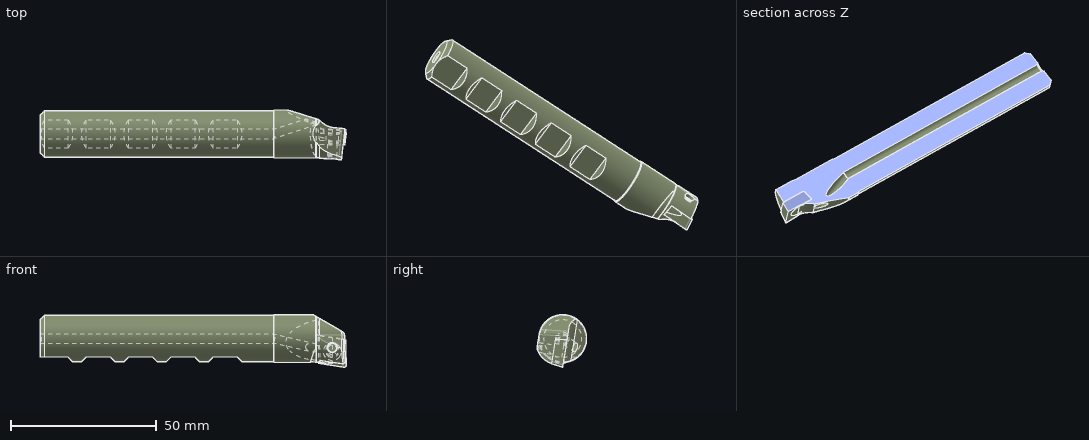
import cadquery as cq
import math


shank_radius = 8.0
shank_length = 80.0
rear_chamfer = 1.5
collar_radius = 8.25
collar_end = 94.7
collar_bevel = collar_radius - shank_radius
neck_radius = 8.1

flat_level = -6.4
ridge_count = 5
ridge_pitch = 14.5
first_ridge_start = 9.6
ridge_base_width = 6.2

bore_diameter = 3.3
bore_mouth_diameter = 4.4
bore_depth = 80.0
drill_point_angle = 118.0
outlet_diameter = 3.0
outlet_target = (93.0, 4.2, -3.0)

head_start = 95.8
side_facet_angle = 9.0
relief_radius = 8.1
relief_pivot = 94.5
relief_side_lean = 0.123
relief_drop = 0.093
relief_bottom_start = 92.6
relief_side_start = 94.0
relief_side_level = -4.0
top_slope_angle = 30.0
top_slope_start = 93.55
end_face_angle = 6.0
end_face_position = 104.3
end_corner_radius = 2.0

inscribed_diameter = 9.525
insert_thickness = 3.97
insert_corner_angle = 80.0
insert_clearance = 7.0
nose_radius = 0.8
end_edge_lean = 1.0
insert_hole_diameter = 4.4

cutting_corner = (105.02, 0, -10.01)
seat_tilt = side_facet_angle

gullet_floor_length = 3.5
gullet_blend_middle = (6.6, 0.4)
gullet_blend_end = (9.5, 2.4)
gullet_run_middle = (15.5, 4.5)
gullet_run_end = (21.0, 6.8)

screw_head_diameter = 6.1
screw_thread_diameter = 3.3
screw_end_diameter = 3.0
screw_end_chamfer = 0.3
screw_length = 8.5

clear = 30.0


def sind(angle):
    return math.sin(math.radians(angle))


def cosd(angle):
    return math.cos(math.radians(angle))


def tand(angle):
    return math.tan(math.radians(angle))


def cylinder(start, direction, diameter, length):
    solid = cq.Solid.makeCylinder(diameter / 2, length, cq.Vector(*start), cq.Vector(*direction))
    return cq.Workplane(solid)


facet_top = collar_radius * sind(side_facet_angle)

seat_normal = cq.Vector(0, cosd(seat_tilt), -sind(seat_tilt))
seat_along = cq.Vector(1, 0, 0)
seat = cq.Plane(origin=cutting_corner, xDir=seat_along, normal=seat_normal)

edge_length = inscribed_diameter / sind(insert_corner_angle)
lead_edge_lean = 90 - insert_corner_angle - end_edge_lean
upper_corner = (-edge_length * sind(end_edge_lean), -edge_length * cosd(end_edge_lean))
rear_corner = (-edge_length * cosd(lead_edge_lean), -edge_length * sind(lead_edge_lean))
far_corner = (upper_corner[0] + rear_corner[0], upper_corner[1] + rear_corner[1])
insert_center = seat.toWorldCoords((far_corner[0] / 2, far_corner[1] / 2))


def seat_section(origin):
    """Plane with local x along the bar and local y along the seat normal."""
    return cq.Plane(origin=origin, xDir=seat_along, normal=seat_along.cross(seat_normal))


def make_insert_blank():
    """Rhombic plate with clearance flanks and a rounded cutting corner, without its hole."""
    plate = (
        cq.Workplane(seat)
        .polyline([(0, 0), upper_corner, far_corner, rear_corner])
        .close()
        .extrude(-insert_thickness, taper=insert_clearance)
    )
    nose_edge = seat.toWorldCoords((0, 0, -insert_thickness / 2)).toTuple()
    return plate.edges(cq.selectors.NearestToPointSelector(nose_edge)).fillet(nose_radius)


def make_screw():
    """Countersunk screw with its head flush with the rake face."""
    head = screw_head_diameter / 2
    throat = insert_hole_diameter / 2
    thread = screw_thread_diameter / 2
    profile = [
        (0, 0),
        (head, 0),
        (throat, throat - head),
        (throat, -insert_thickness),
        (thread, -insert_thickness),
        (thread, screw_end_chamfer - screw_length),
        (screw_end_diameter / 2, -screw_length),
        (0, -screw_length),
    ]
    section = cq.Workplane(seat_section(insert_center)).polyline(profile).close()
    return section.revolve(360, (0, 0), (0, 1))


def make_bar():
    """Turned shank and collar."""
    profile = [
        (0, 0),
        (0, shank_radius - rear_chamfer),
        (rear_chamfer, shank_radius),
        (shank_length, shank_radius),
        (shank_length + collar_bevel, collar_radius),
        (collar_end - collar_bevel, collar_radius),
        (collar_end, neck_radius),
        (collar_end, 0),
    ]
    return cq.Workplane("XY").polyline(profile).close().revolve(360, (0, 0), (1, 0))


def cut_clamping_flats(bar):
    """Mill the underside down to flat_level, leaving ridges and the plain bar after the last one."""
    depth = shank_radius + flat_level
    flat_length = ridge_pitch - ridge_base_width
    for index in range(ridge_count):
        flat_end = first_ridge_start + index * ridge_pitch
        flat_start = flat_end - flat_length if index else -clear
        section = [
            (flat_start, flat_level),
            (flat_end, flat_level),
            (flat_end + depth, -shank_radius),
            (flat_start - depth, -shank_radius),
        ]
        cutter = cq.Workplane("XZ").polyline(section).close().extrude(shank_radius, both=True)
        bar = bar.cut(cutter)
    return bar


def make_head_blank():
    """Round on top, with a flat side facet that leaves the round tangentially and runs down."""
    touch = (-collar_radius * cosd(side_facet_angle), facet_top)
    facet_foot = (touch[0] - (touch[1] + clear) * tand(side_facet_angle), -clear)
    return (
        cq.Workplane("YZ", origin=(collar_end, 0, 0))
        .moveTo(*touch)
        .threePointArc((0, collar_radius), (collar_radius, 0))
        .lineTo(collar_radius, -clear)
        .lineTo(*facet_foot)
        .close()
        .extrude(clear)
    )


def make_neck_groove():
    """Shallow ring behind the head, above the facet only."""
    groove = cq.Workplane("YZ", origin=(collar_end, 0, 0)).circle(clear).circle(neck_radius)
    groove = groove.extrude(head_start - collar_end)
    above_facet = cq.Workplane("XY", origin=(head_start, 0, facet_top))
    above_facet = above_facet.rect(2 * clear, 2 * clear).extrude(clear)
    return groove.intersect(above_facet)


def make_relief():
    """Everything below the facet top and outside the cylinder that leans toward -Y and -Z."""
    front = relief_pivot + clear
    section = [
        (relief_bottom_start, -collar_radius),
        (relief_side_start, relief_side_level),
        (collar_end, relief_side_level),
        (collar_end, facet_top),
        (front, facet_top),
        (front, -2 * clear),
        (relief_bottom_start, -2 * clear),
    ]
    block = cq.Workplane("XZ").polyline(section).close().extrude(clear, both=True)
    start = (relief_pivot - clear, clear * relief_side_lean, clear * relief_drop)
    direction = (1, -relief_side_lean, -relief_drop)
    return block.cut(cylinder(start, direction, 2 * relief_radius, 3 * clear))


def make_envelope():
    """Space bounded by the top slope and the leaning end face, with their edge rounded."""
    rear = -clear
    front = end_face_position + clear
    slope_top = collar_radius + clear
    slope_top_x = top_slope_start - clear / tand(top_slope_angle)
    slope_foot = collar_radius - (front - top_slope_start) * tand(top_slope_angle)
    under_slope = (
        cq.Workplane("XZ")
        .polyline([
            (rear, -clear),
            (front, -clear),
            (front, slope_foot),
            (slope_top_x, slope_top),
            (rear, slope_top),
        ])
        .close()
        .extrude(clear, both=True)
    )
    end_shift = clear * tand(end_face_angle)
    behind_end = (
        cq.Workplane("XY")
        .polyline([
            (rear, -clear),
            (end_face_position - end_shift, -clear),
            (end_face_position + end_shift, clear),
            (rear, clear),
        ])
        .close()
        .extrude(2 * clear, both=True)
    )
    edge_height = collar_radius - (end_face_position - top_slope_start) * tand(top_slope_angle)
    edge_point = (end_face_position, 0, edge_height)
    envelope = under_slope.intersect(behind_end)
    return envelope.edges(cq.selectors.NearestToPointSelector(edge_point)).fillet(end_corner_radius)


def make_gullet():
    """Chip space over the rake face: a floor, a hollow blend and a rounded run-out on the collar."""
    def back(point):
        return (-point[0], point[1])

    return (
        cq.Workplane(seat_section(cutting_corner))
        .moveTo(clear, 0)
        .lineTo(-gullet_floor_length, 0)
        .threePointArc(back(gullet_blend_middle), back(gullet_blend_end))
        .threePointArc(back(gullet_run_middle), back(gullet_run_end))
        .lineTo(-gullet_run_end[0], clear)
        .lineTo(clear, clear)
        .close()
        .extrude(clear, both=True)
    )


def cut_coolant_bore(holder):
    """Countersunk axial bore with a slanted outlet into the gullet."""
    bore = cylinder((0, 0, 0), (1, 0, 0), bore_diameter, bore_depth)
    mouth_depth = (bore_mouth_diameter - bore_diameter) / 2
    mouth = cq.Solid.makeCone(
        bore_mouth_diameter / 2, bore_diameter / 2, mouth_depth, cq.Vector(0, 0, 0), cq.Vector(1, 0, 0)
    )
    point_length = bore_diameter / 2 / tand(drill_point_angle / 2)
    bend = cq.Vector(bore_depth, 0, 0)
    point = cq.Solid.makeCone(bore_diameter / 2, 0, point_length, bend, cq.Vector(1, 0, 0))
    slant = cq.Vector(*outlet_target) - bend
    outlet = cylinder(bend.toTuple(), slant.toTuple(), outlet_diameter, slant.Length + clear / 2)
    return holder.cut(bore).cut(cq.Workplane(point)).cut(cq.Workplane(mouth)).cut(outlet)


def make_holder(insert_blank, screw):
    bar = cut_clamping_flats(make_bar())
    holder = bar.union(make_head_blank().cut(make_neck_groove())).cut(make_relief())
    holder = holder.intersect(make_envelope()).cut(make_gullet())
    screw_hole_start = insert_center - seat_normal * insert_thickness
    screw_hole = cylinder(screw_hole_start.toTuple(), (-seat_normal).toTuple(), screw_thread_diameter, clear)
    holder = holder.cut(insert_blank).cut(screw).cut(screw_hole)
    return cut_coolant_bore(holder)


insert_blank = make_insert_blank()
screw = make_screw()
insert = insert_blank.cut(screw)
holder = make_holder(insert_blank, screw)

result = cq.Compound.makeCompound([holder.val(), insert.val(), screw.val()])